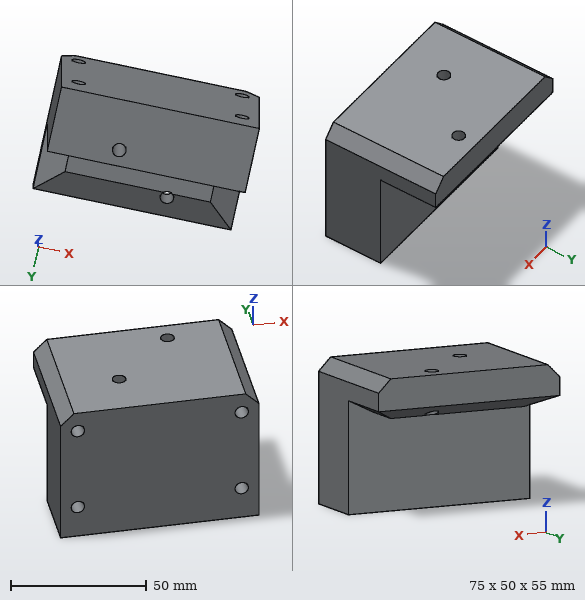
import cadquery as cq

width = 75.0
depth = 50.0
height = 55.0
block_depth = depth / 2

edge_thickness = 12.0
flange_thickness = 17.0
bevel_reach = 10.0
top_chamfer = 5.0

hole_diameter = 5.0
front_hole_spacing_x = 61.95
front_hole_spacing_z = 34.0
front_hole_top_inset = 8.0
front_hole_depth = 10.0
top_hole_spacing = 23.0
top_hole_back_inset = 8.0


def box_at(size_y, bottom, top):
    """Full-width box starting at the front face, between two heights."""
    return cq.Workplane("XY").box(width, size_y, top - bottom, centered=(True, False, False)).translate(
        (0, 0, bottom)
    )


def flange_underside():
    """Bevelled lower part of the flange, with mitred corners."""
    edge_z = height - edge_thickness
    bottom_z = height - flange_thickness
    half_width = width / 2
    end_profile = (
        cq.Workplane("YZ")
        .polyline([(0, edge_z), (depth, edge_z), (depth - bevel_reach, bottom_z), (0, bottom_z)])
        .close()
        .extrude(half_width, both=True)
    )
    side_profile = (
        cq.Workplane("XZ")
        .polyline(
            [
                (-half_width, edge_z),
                (half_width, edge_z),
                (half_width - bevel_reach, bottom_z),
                (bevel_reach - half_width, bottom_z),
            ]
        )
        .close()
        .extrude(-depth)
    )
    return end_profile.intersect(side_profile)


def front_holes():
    """Four blind holes in the front face."""
    center_z = height - front_hole_top_inset - front_hole_spacing_z / 2
    return (
        cq.Workplane("XZ", origin=(0, 0, center_z))
        .rarray(front_hole_spacing_x, front_hole_spacing_z, 2, 2)
        .circle(hole_diameter / 2)
        .extrude(-front_hole_depth)
    )


def top_holes():
    """Two vertical through holes set on a diagonal."""
    back_y = depth - top_hole_back_inset
    half_spacing = top_hole_spacing / 2
    return (
        cq.Workplane("XY")
        .pushPoints([(half_spacing, back_y), (-half_spacing, back_y - top_hole_spacing)])
        .circle(hole_diameter / 2)
        .extrude(height)
    )


block = box_at(block_depth, 0, height)
flange_plate = box_at(depth, height - edge_thickness, height)
body = block.union(flange_plate).union(flange_underside())
body = body.faces(">Z").edges("|Y").chamfer(top_chamfer)
result = body.cut(front_holes()).cut(top_holes())